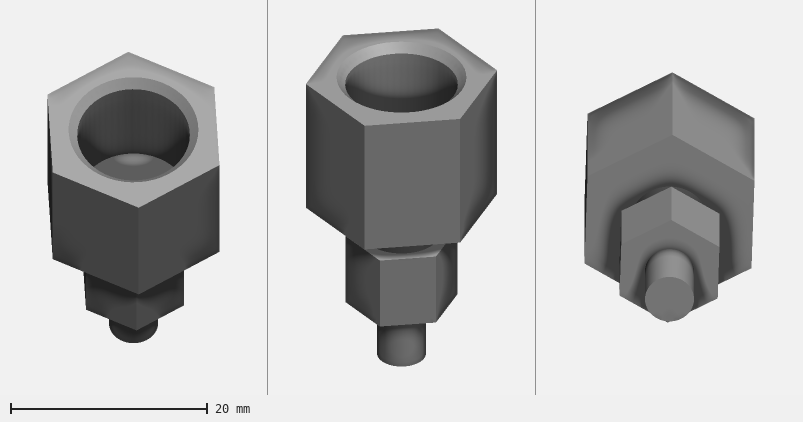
import cadquery as cq
import math

total_height = 33.5
pin_length = 6.7
small_hex_height = 8.0
socket_height = 15.0
neck_length = total_height - pin_length - small_hex_height - socket_height

pin_diameter = 5.0
small_hex_flats = 9.98
neck_diameter = 8.0
socket_flats = 17.0

bore_diameter = 11.45
bore_mouth_diameter = 13.2
bore_depth = 12.0
lead_in_depth = (bore_mouth_diameter - bore_diameter) / 2


def hex_prism(across_flats, height, base_z):
    """Hexagonal prism with flats facing X and corners on the Y axis."""
    across_corners = across_flats / math.cos(math.radians(30))
    prism = cq.Workplane("XY").polygon(6, across_corners).extrude(height)
    return prism.rotate((0, 0, 0), (0, 0, 1), 30).translate((0, 0, base_z))


def cylinder(diameter, height, base_z):
    """Upright cylinder on the Z axis."""
    return cq.Workplane("XY").workplane(offset=base_z).circle(diameter / 2).extrude(height)


small_hex_base = pin_length
neck_base = small_hex_base + small_hex_height
socket_base = neck_base + neck_length

pin = cylinder(pin_diameter, pin_length, 0)
small_hex = hex_prism(small_hex_flats, small_hex_height, small_hex_base)
neck = cylinder(neck_diameter, neck_length, neck_base)
socket = hex_prism(socket_flats, socket_height, socket_base)
body = pin.union(small_hex).union(neck).union(socket)

bore = cylinder(bore_diameter, bore_depth, total_height - bore_depth)
lead_in = (
    cq.Workplane("XY")
    .workplane(offset=total_height - lead_in_depth)
    .circle(bore_diameter / 2)
    .workplane(offset=lead_in_depth)
    .circle(bore_mouth_diameter / 2)
    .loft(ruled=True)
)
result = body.cut(bore).cut(lead_in)